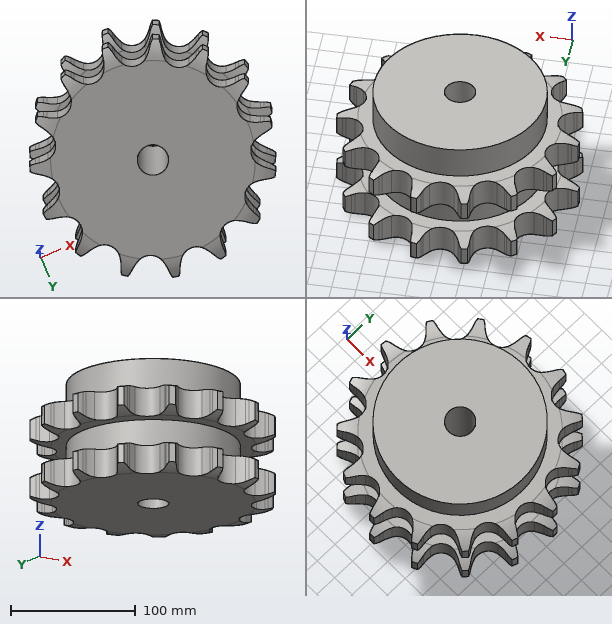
import cadquery as cq
import math

TOOTH_COUNT = 15
PITCH = 38.1
ROLLER_DIAMETER = 25.4
ROW_SPACING = 48.4
ROW_COUNT = 2
TOOTH_WIDTH = 23.6
TIP_RADIUS = 99.1
SIDE_RELIEF_DEPTH = 4.0
SIDE_RELIEF_RADIUS = PITCH

HUB_DIAMETER = 140.0
BORE_DIAMETER = 25.0
TOTAL_HEIGHT = 100.0

HALF_TOOTH_ANGLE = math.pi / TOOTH_COUNT
PITCH_RADIUS = PITCH / 2 / math.sin(HALF_TOOTH_ANGLE)
SEATING_CLEARANCE = 0.0762
SEATING_RADIUS = (1.005 * ROLLER_DIAMETER + SEATING_CLEARANCE) / 2
SEATING_ANGLE = math.radians(35 + 60 / TOOTH_COUNT)
WORKING_ANGLE = math.radians(18 - 56 / TOOTH_COUNT)
WORKING_CENTER_DISTANCE = 0.8 * ROLLER_DIAMETER
WORKING_RADIUS = SEATING_RADIUS + WORKING_CENTER_DISTANCE
TOPPING_CENTER_DISTANCE = 1.4 * ROLLER_DIAMETER

GAP_CLEARANCE = 5.0


def polar(center, radius, angle):
    """Point at the given radius and angle around a center."""
    return (center[0] + radius * math.cos(angle), center[1] + radius * math.sin(angle))


def mirrored(point):
    """Point reflected across the center line of the tooth gap."""
    return (-point[0], point[1])


def tooth_gap():
    """Cutter for the gap between two teeth, centered on the +Y direction."""
    roller_center = (0, PITCH_RADIUS)
    root = (0, PITCH_RADIUS - SEATING_RADIUS)

    seating_end = polar(roller_center, SEATING_RADIUS, -SEATING_ANGLE)
    working_center = polar(roller_center, WORKING_CENTER_DISTANCE, math.pi - SEATING_ANGLE)
    flank_angle = SEATING_ANGLE - WORKING_ANGLE
    working_mid = polar(working_center, WORKING_RADIUS, -(SEATING_ANGLE + flank_angle) / 2)
    working_end = polar(working_center, WORKING_RADIUS, -flank_angle)

    topping_center = polar(roller_center, TOPPING_CENTER_DISTANCE, -HALF_TOOTH_ANGLE)
    normal = (math.cos(flank_angle), -math.sin(flank_angle))
    topping_radius = (
        (topping_center[0] - working_end[0]) * normal[0]
        + (topping_center[1] - working_end[1]) * normal[1]
    )
    topping_start = polar(topping_center, topping_radius, math.pi - flank_angle)

    center_distance = math.hypot(*topping_center)
    center_angle = math.atan2(topping_center[1], topping_center[0])
    tip_offset = math.acos(
        (TIP_RADIUS**2 + center_distance**2 - topping_radius**2) / (2 * TIP_RADIUS * center_distance)
    )
    tip = polar((0, 0), TIP_RADIUS, center_angle + tip_offset)
    tip_angle = math.atan2(tip[1] - topping_center[1], tip[0] - topping_center[0])
    topping_mid = polar(topping_center, topping_radius, (math.pi - flank_angle + tip_angle) / 2)
    outside = (tip[0], tip[1] + GAP_CLEARANCE)

    return (
        cq.Workplane("XY")
        .workplane(offset=-GAP_CLEARANCE)
        .moveTo(*mirrored(seating_end))
        .threePointArc(root, seating_end)
        .threePointArc(working_mid, working_end)
        .lineTo(*topping_start)
        .threePointArc(topping_mid, tip)
        .lineTo(*outside)
        .lineTo(*mirrored(outside))
        .lineTo(*mirrored(tip))
        .threePointArc(mirrored(topping_mid), mirrored(topping_start))
        .lineTo(*mirrored(working_end))
        .threePointArc(mirrored(working_mid), mirrored(seating_end))
        .close()
        .extrude(TOOTH_WIDTH + 2 * GAP_CLEARANCE)
    )


def tooth_disc():
    """Disc whose rim is rounded off toward the tip circle on both faces."""
    relief_length = math.sqrt(SIDE_RELIEF_RADIUS**2 - (SIDE_RELIEF_RADIUS - SIDE_RELIEF_DEPTH) ** 2)
    face_radius = TIP_RADIUS - relief_length
    arc_half_angle = math.asin(relief_length / SIDE_RELIEF_RADIUS) / 2
    mid_radius = face_radius + SIDE_RELIEF_RADIUS * math.sin(arc_half_angle)
    mid_depth = SIDE_RELIEF_RADIUS * (1 - math.cos(arc_half_angle))
    return (
        cq.Workplane("XZ")
        .moveTo(0, 0)
        .lineTo(face_radius, 0)
        .threePointArc((mid_radius, mid_depth), (TIP_RADIUS, SIDE_RELIEF_DEPTH))
        .lineTo(TIP_RADIUS, TOOTH_WIDTH - SIDE_RELIEF_DEPTH)
        .threePointArc((mid_radius, TOOTH_WIDTH - mid_depth), (face_radius, TOOTH_WIDTH))
        .lineTo(0, TOOTH_WIDTH)
        .close()
        .revolve(360, (0, 0), (0, 1))
    )


def toothed_row():
    """One sprocket row standing on Z = 0, with a gap centered on +Y."""
    row = tooth_disc()
    gap = tooth_gap()
    for index in range(TOOTH_COUNT):
        row = row.cut(gap.rotate((0, 0, 0), (0, 0, 1), index * 360 / TOOTH_COUNT))
    return row


def sprocket():
    """Hub with the toothed rows stacked from its bottom face and a through bore."""
    body = cq.Workplane("XY").circle(HUB_DIAMETER / 2).extrude(TOTAL_HEIGHT)
    row = toothed_row()
    for index in range(ROW_COUNT):
        body = body.union(row.translate((0, 0, index * ROW_SPACING)))
    bore = cq.Workplane("XY").circle(BORE_DIAMETER / 2).extrude(TOTAL_HEIGHT)
    return body.cut(bore)


result = sprocket()